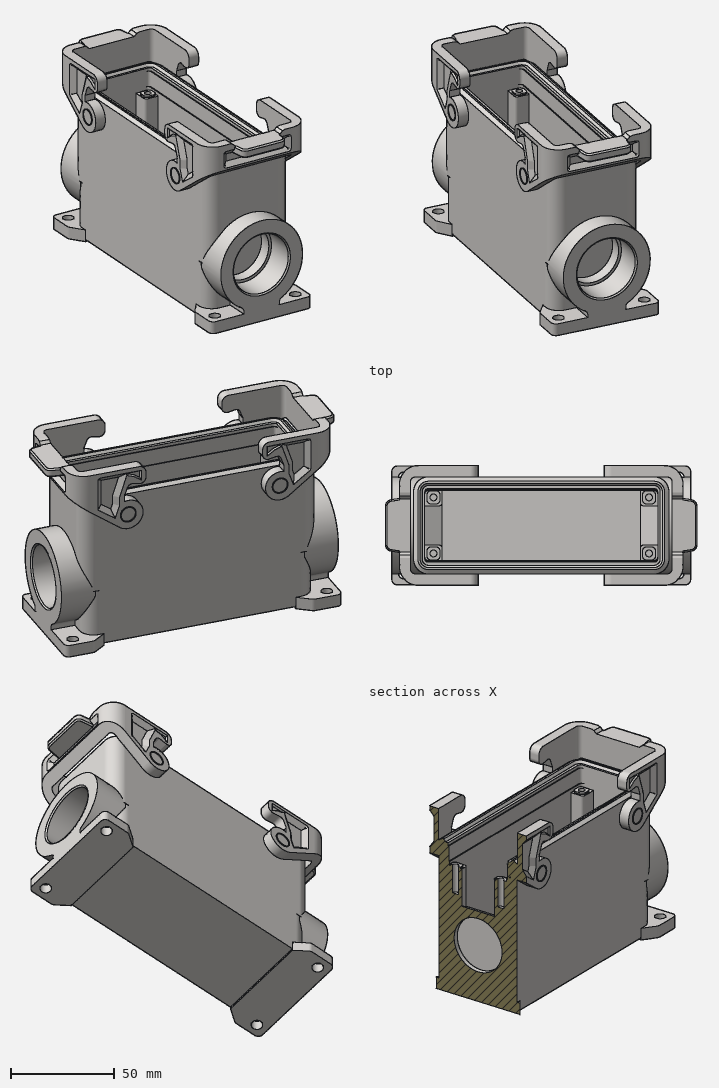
import cadquery as cq
import math

BODY_LENGTH = 123.4
BODY_WIDTH = 47.0
BODY_CORNER = 7.2
BODY_BOTTOM = 1.2
SIDE_TOP = 80.2
RIM_TOP = 81.5
LOWER_LENGTH = 119.8

RIM_CREST_OUT = 2.1
RIM_CREST_IN = 3.2
RIM_FOOT_IN = 4.2
CAVITY_LENGTH = 112.5
CAVITY_WIDTH = 35.5
CAVITY_CORNER = 1.5
LEDGE_DEPTH = 0.5
UPPER_LEDGE_Z = 78.5
LOWER_LEDGE_Z = 70.5
FLOOR_Z = 6.3

PILLAR_INNER_X = 47.9
PILLAR_INNER_Y = 9.5
PILLAR_CORNER = 1.5
PILLAR_TOP = 68.5
PAD_SIZE = 6.3
PAD_CORNER = 2.0
PAD_TOP = 69.2
SCREW_X = 52.0
SCREW_Y = 13.5
SCREW_RADIUS = 1.7
SCREW_DEPTH = 15.0

PORT_END_X = 72.2
PORT_RADIUS = 23.4
PORT_Z = 30.3
BORE_RADIUS = 15.7
BORE_MOUTH_CHAMFER = 0.8
KNOCKOUT_RADIUS = 14.1
KNOCKOUT_WALL = 1.8
PORT_BLOCK_HIGH = 50.4
PORT_BLOCK_LOW = 46.7
NECK_WIDTH = 20.5
NECK_FILLET = 2.0

FOOT_INNER_X = 50.0
FOOT_BEVEL_X = 57.2
FOOT_WIDTH = 57.5
FOOT_HEIGHT = 6.3
FOOT_CORNER = 2.7
FOOT_HOLE_X = 66.2
FOOT_HOLE_Y = 23.0
FOOT_HOLE_RADIUS = 2.78

LEVER_TOP = 96.9
LEVER_END_X = 68.5
LEVER_WIDTH = 58.0
LEVER_CORNER = 9.0
LEVER_INSIDE_X = 63.2
LEVER_INSIDE_WIDTH = 46.8
LEVER_INSIDE_CORNER = 2.4
LEVER_END_BOTTOM = 83.5
PIVOT_X = 39.6
PIVOT_Z = 72.0
PIVOT_RADIUS = 7.7
PIN_RADIUS = 4.0
PIN_GROOVE = 0.3
HOOK_TIP_X = 30.4
HOOK_TOP_RADIUS = 3.8
HOOK_NOSE_RADIUS = 3.0
HOOK_BOTTOM = 87.6
THROAT_X = 41.5
THROAT_STEP_Z = 82.8
THROAT_ROOF = (-37.6, 88.3)
THROAT_BEND = (-39.1, 87.9)
THROAT_WALL = (-40.0, 86.7)
ARM_POCKET = [
    (-55.5, 94.7), (-40.0, 94.7), (-44.2, 82.0), (-44.2, 77.5), (-46.5, 71.2), (-55.5, 77.5),
]
HOOK_POCKET = [
    (-41.4, 94.7), (-32.8, 94.7), (-32.8, 89.4), (-36.5, 92.0), (-39.9, 93.2),
]
POCKET_CORNER = 1.5
POCKET_SLOPE = 48
SIDE_POCKET_DEPTH = 2.4
HOOK_POCKET_DEPTH = 0.9
HOOK_POCKET_SLOPE = 35
END_POCKET_WIDTH = 38.5
END_POCKET_BOTTOM = 84.6
END_POCKET_TOP = 93.5
END_POCKET_DEPTH = 2.3
NOTCH_WIDTH = 25.6
NOTCH_WIDTH_SHOULDER = 28.6
NOTCH_WIDTH_TOP = 31.6
NOTCH_SHOULDER_Z = 96.5

TAB_TIP_X = 75.2
TAB_TOP = 95.1
TAB_BOTTOM = 90.6
TAB_ROOT_WIDTH = 27.7
TAB_TIP_WIDTH = 24.1
TAB_CORNER = 3.0
TAB_EDGE = 0.8


def rounded_block(length, width, radius, bottom, top):
    block = cq.Workplane("XY").workplane(offset=bottom).rect(length, width)
    return block.extrude(top - bottom).edges("|Z").fillet(radius)


def both_ends(shape):
    """Shape at the -X end together with its mirror image at the +X end."""
    return shape.union(shape.mirror("YZ"))


def both_sides(shape):
    """Shape on the -Y side together with its mirror image on the +Y side."""
    return shape.union(shape.mirror("XZ"))


def along_x(start_x):
    """Workplane on the port axis whose extrusions run toward +X."""
    return cq.Workplane("YZ", origin=(start_x, 0, PORT_Z))


def inset_ring(inset, height):
    """Closed outline of the body, moved inward by inset, at a given height."""
    length = BODY_LENGTH - 2 * inset
    width = BODY_WIDTH - 2 * inset
    outline = cq.Sketch().rect(length, width).vertices().fillet(BODY_CORNER - inset)
    return outline.moved(cq.Location(cq.Vector(0, 0, height)))


def tapered_ring(low_inset, high_inset):
    """Solid between two inset outlines, from the side top up to the rim top."""
    low = inset_ring(low_inset, SIDE_TOP)
    high = inset_ring(high_inset, RIM_TOP)
    return cq.Workplane("XY").placeSketch(low, high).loft()


def body_shell():
    upper = rounded_block(BODY_LENGTH, BODY_WIDTH, BODY_CORNER, PORT_Z, SIDE_TOP)
    lower = rounded_block(LOWER_LENGTH, BODY_WIDTH, BODY_CORNER, BODY_BOTTOM, PORT_Z)
    crest = tapered_ring(0, RIM_CREST_OUT).cut(tapered_ring(RIM_FOOT_IN, RIM_CREST_IN))
    return upper.union(lower).union(crest)


def cavity():
    """Opening that narrows over two ledges along the long sides."""
    levels = [RIM_TOP, UPPER_LEDGE_Z, LOWER_LEDGE_Z, FLOOR_Z]
    opening = cq.Workplane("XY")
    for step, (top, bottom) in enumerate(zip(levels, levels[1:])):
        width = CAVITY_WIDTH - 2 * step * LEDGE_DEPTH
        opening = opening.add(rounded_block(CAVITY_LENGTH, width, CAVITY_CORNER, bottom, top))
    return opening.combine()


def screw_pillars():
    """Corner pillars grown together with the cavity walls, each with a drilled pad."""
    length = CAVITY_LENGTH / 2 - PILLAR_INNER_X
    width = CAVITY_WIDTH / 2 - PILLAR_INNER_Y
    pillar = (
        cq.Workplane("XY", origin=(-PILLAR_INNER_X - length / 2, -PILLAR_INNER_Y - width / 2, FLOOR_Z))
        .rect(length, width).extrude(PILLAR_TOP - FLOOR_Z)
        .edges("|Z and >X and >Y").fillet(PILLAR_CORNER)
    )
    pad = (
        cq.Workplane("XY", origin=(-SCREW_X, -SCREW_Y, PILLAR_TOP))
        .rect(PAD_SIZE, PAD_SIZE).extrude(PAD_TOP - PILLAR_TOP)
        .edges("|Z").fillet(PAD_CORNER)
    )
    screw_hole = (
        cq.Workplane("XY", origin=(-SCREW_X, -SCREW_Y, PAD_TOP))
        .circle(SCREW_RADIUS).extrude(-SCREW_DEPTH)
    )
    return both_ends(both_sides(pillar.union(pad).cut(screw_hole)))


def port_blocks():
    """Blocks inside the cavity, with a sloping top, that hold the port ends."""
    wall_x = CAVITY_LENGTH / 2
    block = (
        cq.Workplane("XZ")
        .polyline([
            (-wall_x, FLOOR_Z), (-PILLAR_INNER_X, FLOOR_Z),
            (-PILLAR_INNER_X, PORT_BLOCK_LOW), (-wall_x, PORT_BLOCK_HIGH),
        ]).close()
        .extrude(CAVITY_WIDTH / 2, both=True)
    )
    return both_ends(block)


def port_bosses():
    root_x = -BODY_LENGTH / 2 + BODY_CORNER
    length = PORT_END_X + root_x
    boss = along_x(-PORT_END_X).circle(PORT_RADIUS).extrude(length)
    neck_height = PORT_Z - FOOT_HEIGHT / 2
    neck = (
        along_x(-PORT_END_X).center(0, -neck_height / 2)
        .rect(NECK_WIDTH, neck_height).extrude(length)
    )
    drop = math.sqrt(PORT_RADIUS ** 2 - (NECK_WIDTH / 2) ** 2)
    margin = NECK_FILLET / 4
    joint = cq.selectors.BoxSelector(
        (-PORT_END_X - margin, -NECK_WIDTH / 2 - margin, PORT_Z - drop - margin),
        (root_x + margin, NECK_WIDTH / 2 + margin, PORT_Z - drop + margin),
    )
    boss = boss.union(neck).edges("|X").edges(joint).fillet(NECK_FILLET)
    return both_ends(boss)


def port_bores():
    wall_x = CAVITY_LENGTH / 2
    bore = along_x(-PORT_END_X).circle(BORE_RADIUS).extrude(PORT_END_X - wall_x)
    knockout_length = PORT_END_X - PILLAR_INNER_X - KNOCKOUT_WALL
    knockout = along_x(-PORT_END_X).circle(KNOCKOUT_RADIUS).extrude(knockout_length)
    mouth = (
        along_x(-PORT_END_X).circle(BORE_RADIUS + BORE_MOUTH_CHAMFER)
        .workplane(offset=BORE_MOUTH_CHAMFER).circle(BORE_RADIUS).loft()
    )
    return both_ends(bore.union(knockout).union(mouth))


def mounting_feet():
    half = FOOT_WIDTH / 2
    inner_half = BODY_WIDTH / 2
    foot = (
        cq.Workplane("XY")
        .polyline([
            (-PORT_END_X, -half), (-FOOT_BEVEL_X, -half), (-FOOT_INNER_X, -inner_half),
            (-FOOT_INNER_X, inner_half), (-FOOT_BEVEL_X, half), (-PORT_END_X, half),
        ]).close().extrude(FOOT_HEIGHT)
    )
    foot = foot.edges("|Z").edges("<X or <Y or >Y").fillet(FOOT_CORNER)
    holes = (
        cq.Workplane("XY")
        .pushPoints([(-FOOT_HOLE_X, -FOOT_HOLE_Y), (-FOOT_HOLE_X, FOOT_HOLE_Y)])
        .circle(FOOT_HOLE_RADIUS).extrude(FOOT_HEIGHT)
    )
    return both_ends(foot.cut(holes))


def lever_side_outline():
    """Lever seen from its side: end wall, hook and pivot eye in one outline."""
    corner_x = -LEVER_END_X
    to_corner = math.atan2(LEVER_END_BOTTOM - PIVOT_Z, corner_x + PIVOT_X)
    distance = math.hypot(corner_x + PIVOT_X, LEVER_END_BOTTOM - PIVOT_Z)
    tangent_angle = to_corner + math.acos(PIVOT_RADIUS / distance)

    def on_eye(angle):
        return (-PIVOT_X + PIVOT_RADIUS * math.cos(angle), PIVOT_Z + PIVOT_RADIUS * math.sin(angle))

    throat_angle = math.acos((PIVOT_X - THROAT_X) / PIVOT_RADIUS)
    top_x = -HOOK_TIP_X - HOOK_TOP_RADIUS
    top_z = LEVER_TOP - HOOK_TOP_RADIUS
    top_bend = HOOK_TOP_RADIUS * math.sqrt(0.5)
    nose_x = -HOOK_TIP_X - HOOK_NOSE_RADIUS
    nose_z = HOOK_BOTTOM + HOOK_NOSE_RADIUS
    nose_bend = HOOK_NOSE_RADIUS * math.sqrt(0.5)
    return (
        cq.Workplane("XZ")
        .moveTo(corner_x, LEVER_END_BOTTOM)
        .lineTo(corner_x, LEVER_TOP)
        .lineTo(top_x, LEVER_TOP)
        .threePointArc((top_x + top_bend, top_z + top_bend), (-HOOK_TIP_X, top_z))
        .lineTo(-HOOK_TIP_X, nose_z)
        .threePointArc((nose_x + nose_bend, nose_z - nose_bend), (nose_x, HOOK_BOTTOM))
        .lineTo(*THROAT_ROOF)
        .threePointArc(THROAT_BEND, THROAT_WALL)
        .lineTo(-THROAT_X, THROAT_STEP_Z)
        .lineTo(*on_eye(throat_angle))
        .threePointArc(on_eye(-math.pi / 4), on_eye(tangent_angle))
        .close()
    )


def lever_side_pockets():
    """Sloping-walled recess in the arm and the shallow one in the hook."""
    face = cq.Workplane("XZ", origin=(0, -LEVER_WIDTH / 2, 0))
    arm_outline = cq.Sketch().polygon(ARM_POCKET + ARM_POCKET[:1])
    arm_outline = arm_outline.vertices("<X").fillet(POCKET_CORNER)
    arm_recess = face.placeSketch(arm_outline).extrude(-SIDE_POCKET_DEPTH, taper=POCKET_SLOPE)
    hook_outline = face.polyline(HOOK_POCKET).close()
    hook_recess = hook_outline.extrude(-HOOK_POCKET_DEPTH, taper=HOOK_POCKET_SLOPE)
    return both_sides(arm_recess.union(hook_recess))


def pin_grooves():
    groove = (
        cq.Workplane("XZ", origin=(-PIVOT_X, -LEVER_WIDTH / 2, PIVOT_Z))
        .circle(PIN_RADIUS).circle(PIN_RADIUS - PIN_GROOVE).extrude(-PIN_GROOVE)
    )
    return both_sides(groove)


def lever_end_pocket():
    height = END_POCKET_TOP - END_POCKET_BOTTOM
    middle_z = (END_POCKET_TOP + END_POCKET_BOTTOM) / 2
    outline = cq.Sketch().rect(END_POCKET_WIDTH, height).vertices().fillet(POCKET_CORNER)
    return (
        cq.Workplane("YZ", origin=(-LEVER_END_X, 0, middle_z))
        .placeSketch(outline).extrude(END_POCKET_DEPTH, taper=POCKET_SLOPE)
    )


def lever_notch():
    half = NOTCH_WIDTH / 2
    half_shoulder = NOTCH_WIDTH_SHOULDER / 2
    half_top = NOTCH_WIDTH_TOP / 2
    return (
        cq.Workplane("YZ", origin=(-LEVER_END_X, 0, 0))
        .polyline([
            (-half, TAB_TOP), (half, TAB_TOP),
            (half_shoulder, NOTCH_SHOULDER_Z), (half_top, LEVER_TOP),
            (-half_top, LEVER_TOP), (-half_shoulder, NOTCH_SHOULDER_Z),
        ]).close().extrude(LEVER_END_X - LEVER_INSIDE_X)
    )


def finger_tab():
    root = TAB_ROOT_WIDTH / 2
    tip = TAB_TIP_WIDTH / 2
    return (
        cq.Workplane("XY").workplane(offset=TAB_BOTTOM)
        .polyline([
            (-LEVER_INSIDE_X, -root), (-TAB_TIP_X, -tip), (-TAB_TIP_X, tip), (-LEVER_INSIDE_X, root),
        ]).close().extrude(TAB_TOP - TAB_BOTTOM)
        .edges("|Z and <X").fillet(TAB_CORNER)
        .faces("<X").edges("|Y").chamfer(TAB_EDGE)
    )


def locking_levers():
    lever = lever_side_outline().extrude(LEVER_WIDTH / 2, both=True)
    plan = rounded_block(2 * LEVER_END_X, LEVER_WIDTH, LEVER_CORNER, 0, LEVER_TOP)
    inside = rounded_block(
        2 * LEVER_INSIDE_X, LEVER_INSIDE_WIDTH, LEVER_INSIDE_CORNER, 0, LEVER_TOP
    )
    lever = lever.intersect(plan).cut(inside)
    lever = lever.cut(lever_side_pockets()).cut(pin_grooves())
    lever = lever.cut(lever_end_pocket()).cut(lever_notch()).union(finger_tab())
    return both_ends(lever)


housing = body_shell().union(port_bosses()).cut(cavity())
housing = housing.union(screw_pillars()).union(port_blocks()).union(mounting_feet())
housing = housing.cut(port_bores())
result = housing.union(locking_levers())